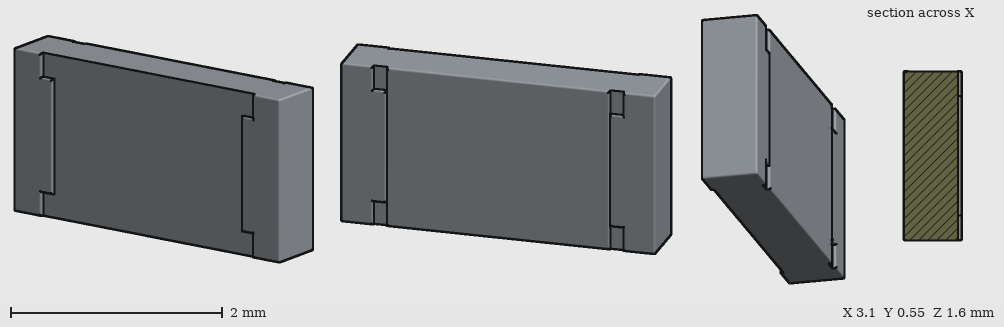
import cadquery as cq

length = 3.1
thickness = 0.55
height = 1.6

layer = 0.035
edge_radius = 0.02

band_width = 0.32
tab_reach = 0.45
tab_margin = 0.235

body_length = length - 2 * layer
body_thickness = thickness - 2 * layer
tab_height = height - 2 * tab_margin
coating_length = length - 2 * tab_reach


def make_body():
    return cq.Workplane("XY").box(body_length, body_thickness, height)


def make_left_terminal():
    """End cap wrapping onto both large faces, with a central tab on each."""
    left_end = -length / 2
    band = cq.Workplane("XY").box(band_width, thickness, height)
    band = band.translate((left_end + band_width / 2, 0, 0))
    tab = cq.Workplane("XY").box(tab_reach, thickness, tab_height)
    tab = tab.translate((left_end + tab_reach / 2, 0, 0))
    block = band.union(tab).faces("<X or <Y or >Y").edges().fillet(edge_radius)
    return block.cut(make_body())


def make_coating():
    """Protective layer on the +Y face, between the terminal tabs."""
    coating = cq.Workplane("XY").box(coating_length, layer, height)
    coating = coating.translate((0, (body_thickness + layer) / 2, 0))
    return coating.faces(">Y").edges().fillet(edge_radius)


left_terminal = make_left_terminal()
right_terminal = left_terminal.mirror("YZ")

result = make_body()
for covering in (left_terminal, right_terminal, make_coating()):
    result = result.union(covering, clean=False)